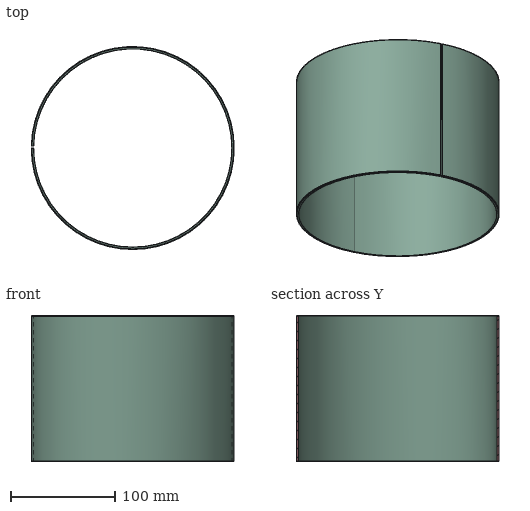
import cadquery as cq

outer_diameter = 195.0
wall = 2.3
height = 140.0
rim_chamfer = 0.5
slit_width = 1.8

outer_radius = outer_diameter / 2
inner_radius = outer_radius - wall

body = cq.Workplane("XY").circle(outer_radius).extrude(height)
body = body.edges("%CIRCLE").chamfer(rim_chamfer)
bore = cq.Workplane("XY").circle(inner_radius).extrude(height)
tube = body.cut(bore)

slit = (
    cq.Workplane("XY")
    .center(-(outer_radius + inner_radius) / 2, slit_width / 2)
    .rect(2 * wall, slit_width)
    .extrude(height)
)

result = tube.cut(slit)